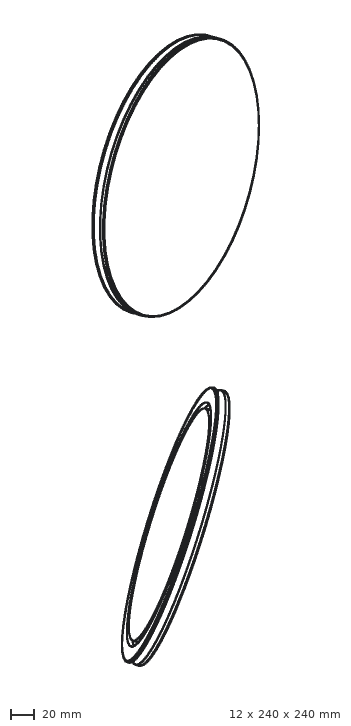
import cadquery as cq

disc_diameter = 240.0
thickness = 12.0
edge_chamfer = 0.85

rim_root_diameter = 235.0
rim_groove_offset = -1.0
rim_groove_radius = 3.0

ring_inner_diameter = 203.0
ring_outer_diameter = 213.0
ring_depth = 4.5

rim_radius = disc_diameter / 2
rim_groove_center = rim_root_diameter / 2 + rim_groove_radius
face_x = -thickness / 2


def make_disc():
    """Plain disc centred on the origin, chamfered on both rim edges."""
    disc = cq.Workplane("YZ", origin=(face_x, 0, 0)).circle(rim_radius).extrude(thickness)
    return disc.edges().chamfer(edge_chamfer)


def make_rim_groove():
    """Torus centred just outside the rim, leaving a shallow round groove."""
    section = cq.Workplane("XY", origin=(rim_groove_offset, 0, 0))
    section = section.center(0, rim_groove_center).circle(rim_groove_radius)
    return section.revolve(360, (0, -rim_groove_center), (1, -rim_groove_center))


def make_ring_groove():
    """Square-cornered ring sunk into the -X face."""
    face = cq.Workplane("YZ", origin=(face_x, 0, 0))
    return face.circle(ring_outer_diameter / 2).circle(ring_inner_diameter / 2).extrude(ring_depth)


result = make_disc().cut(make_rim_groove()).cut(make_ring_groove())